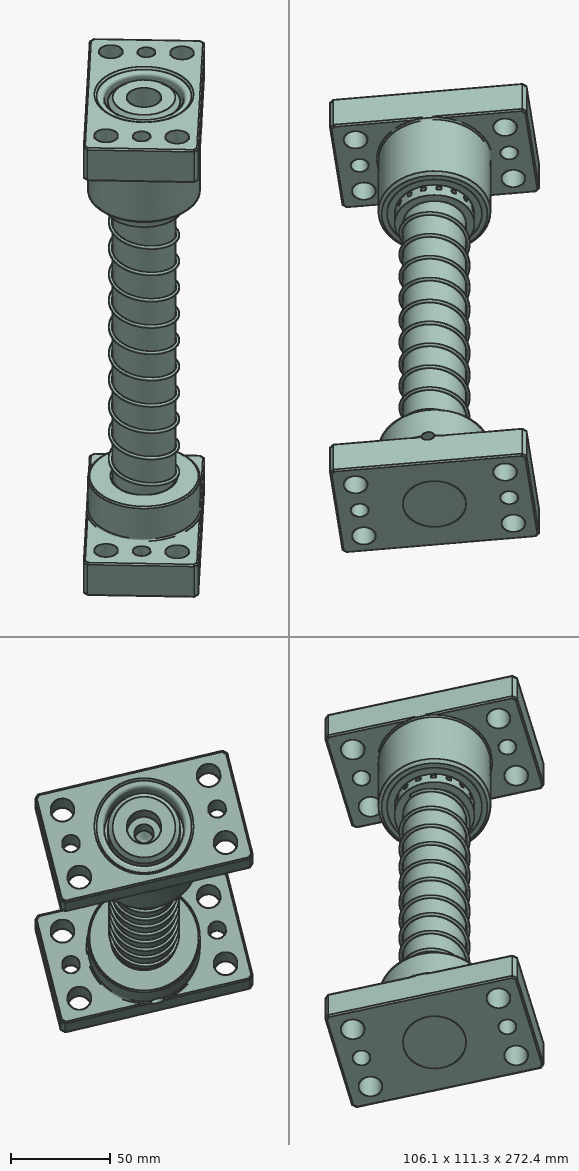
import cadquery as cq
import math


TOTAL_HEIGHT = 272.4
PLATE_TURN = -50.0

PLATE_LENGTH = 100.0
PLATE_WIDTH = 58.0
PLATE_THICKNESS = 20.0
CORNER_CHAMFER = 2.0
RIM_CHAMFER = 0.8
HOLE_SPACING_LONG = 76.0
HOLE_SPACING_SHORT = 36.0
SCREW_HOLE_DIAMETER = 12.0
DOWEL_HOLE_DIAMETER = 9.0

COLLAR_RADIUS = 28.3
COLLAR_ROOT_FILLET = 0.8
BASE_HEIGHT = 40.0
BASE_RIM_CHAMFER = 0.8
HOUSING_HEIGHT = 60.0
HOUSING_RIM_CHAMFER = 1.5
VENT_DIAMETER = 6.5
PILLAR_BORE_CHAMFER = 1.0

BUSH_RADIUS = 24.0
BUSH_BORE_RADIUS = 20.2
BUSH_MOUTH_FILLET = 2.0
SEAT_CHAMFER = 1.0

PILLAR_DIAMETER = 32.0
PILLAR_RADIUS = PILLAR_DIAMETER / 2
CAP_RADIUS = 18.2
CAP_CHAMFER = 2.5
CAP_THICKNESS = 13.5
CAP_SETBACK = 2.0
CAP_HOLE_RADIUS = 8.7
PILOT_RADIUS = 5.0
PILOT_DEPTH = 13.5
DRILL_POINT_ANGLE = 118.0

CAGE_STICKOUT = 7.4
CAGE_POCKET_COUNT = 16
CAGE_POCKET_DIAMETER = 2.7
CAGE_POCKET_DROP = 2.2
CAGE_POCKET_TURN = 8.0

WIRE_RADIUS = 0.8
SPRING_PILLAR_GAP = 0.3
SPRING_RADIUS = PILLAR_RADIUS + SPRING_PILLAR_GAP + WIRE_RADIUS
SPRING_TURNS = 10.2
SPRING_START_TURN = 10.0

HOUSING_BOTTOM = TOTAL_HEIGHT - HOUSING_HEIGHT
BUSH_TOP = TOTAL_HEIGHT - SEAT_CHAMFER
CAP_TOP = TOTAL_HEIGHT - CAP_SETBACK
PILLAR_TOP = CAP_TOP - CAP_THICKNESS
CAGE_BOTTOM = HOUSING_BOTTOM - CAGE_STICKOUT


def cylinder(radius, bottom, top):
    return cq.Workplane("XY").workplane(offset=bottom).circle(radius).extrude(top - bottom)


def make_plate():
    plate = (
        cq.Workplane("XY")
        .box(PLATE_LENGTH, PLATE_WIDTH, PLATE_THICKNESS, centered=(True, True, False))
        .edges("|Z").chamfer(CORNER_CHAMFER)
        .faces("<Z or >Z").edges().chamfer(RIM_CHAMFER)
    )
    screw_holes = (
        cq.Workplane("XY")
        .rect(HOLE_SPACING_LONG, HOLE_SPACING_SHORT, forConstruction=True)
        .vertices().circle(SCREW_HOLE_DIAMETER / 2).extrude(PLATE_THICKNESS)
    )
    dowel_holes = (
        cq.Workplane("XY")
        .rarray(HOLE_SPACING_LONG, 2.7, 2, 1)
        .circle(DOWEL_HOLE_DIAMETER / 2).extrude(PLATE_THICKNESS)
    )
    return plate.cut(screw_holes).cut(dowel_holes)


def make_collar(height, rim_chamfer):
    """Collar with a filleted root, trimmed so that it stays within the plate width."""
    root_radius = COLLAR_RADIUS + COLLAR_ROOT_FILLET
    fillet_top = PLATE_THICKNESS + COLLAR_ROOT_FILLET
    fillet_bow = COLLAR_ROOT_FILLET * (1 - math.sqrt(0.5))
    fillet_middle = (COLLAR_RADIUS + fillet_bow, PLATE_THICKNESS + fillet_bow)
    foot = PLATE_THICKNESS - RIM_CHAMFER
    collar = (
        cq.Workplane("XZ")
        .moveTo(0, foot)
        .lineTo(root_radius, foot)
        .lineTo(root_radius, PLATE_THICKNESS)
        .threePointArc(fillet_middle, (COLLAR_RADIUS, fillet_top))
        .lineTo(COLLAR_RADIUS, height - rim_chamfer)
        .lineTo(COLLAR_RADIUS - rim_chamfer, height)
        .lineTo(0, height)
        .close()
        .revolve(360, (0, 0, 0), (0, 1, 0))
    )
    limit = cq.Workplane("XY").box(PLATE_LENGTH, PLATE_WIDTH, height, centered=(True, True, False))
    return collar.intersect(limit)


def make_base():
    blank = make_plate().union(make_collar(BASE_HEIGHT, BASE_RIM_CHAMFER))
    vent = (
        cq.Workplane("XZ", origin=(0, 0, PLATE_THICKNESS))
        .circle(VENT_DIAMETER / 2).extrude(PLATE_WIDTH)
    )
    pillar_bore = cylinder(PILLAR_RADIUS, 0, BASE_HEIGHT)
    return (
        blank.cut(vent).cut(pillar_bore)
        .faces(">Z").edges(cq.selectors.RadiusNthSelector(0)).chamfer(PILLAR_BORE_CHAMFER)
        .rotate((0, 0, 0), (0, 0, 1), PLATE_TURN)
    )


def make_housing():
    blank = make_plate().union(make_collar(HOUSING_HEIGHT, HOUSING_RIM_CHAMFER))
    bore = cylinder(BUSH_RADIUS, 0, HOUSING_HEIGHT)
    return (
        blank.cut(bore)
        .faces("<Z").edges(cq.selectors.RadiusNthSelector(-1)).chamfer(SEAT_CHAMFER)
        .mirror("XY")
        .translate((0, 0, TOTAL_HEIGHT))
        .rotate((0, 0, 0), (0, 0, 1), PLATE_TURN)
    )


def make_bush():
    tube = cylinder(BUSH_RADIUS, HOUSING_BOTTOM, BUSH_TOP).cut(
        cylinder(BUSH_BORE_RADIUS, HOUSING_BOTTOM, BUSH_TOP)
    )
    mouth = cq.selectors.RadiusNthSelector(0)
    return tube.faces(">Z").edges(mouth).fillet(BUSH_MOUTH_FILLET)


def make_cage():
    cage = cylinder(BUSH_BORE_RADIUS, CAGE_BOTTOM, PILLAR_TOP).cut(
        cylinder(PILLAR_RADIUS, CAGE_BOTTOM, PILLAR_TOP)
    )
    pocket = (
        cq.Workplane("YZ", origin=(0, 0, HOUSING_BOTTOM - CAGE_POCKET_DROP))
        .circle(CAGE_POCKET_DIAMETER / 2).extrude(2 * BUSH_BORE_RADIUS)
    )
    for index in range(CAGE_POCKET_COUNT):
        turn = CAGE_POCKET_TURN + index * 360 / CAGE_POCKET_COUNT
        cage = cage.cut(pocket.rotate((0, 0, 0), (0, 0, 1), turn))
    return cage


def make_cap():
    cap = cylinder(CAP_RADIUS, PILLAR_TOP, CAP_TOP).faces(">Z").chamfer(CAP_CHAMFER)
    return cap.cut(cylinder(CAP_HOLE_RADIUS, PILLAR_TOP, CAP_TOP))


def make_pillar():
    pilot_floor = PILLAR_TOP - PILOT_DEPTH
    point_depth = PILOT_RADIUS / math.tan(math.radians(DRILL_POINT_ANGLE / 2))
    bore = (
        cq.Workplane("XZ")
        .moveTo(0, PILLAR_TOP)
        .lineTo(PILOT_RADIUS, PILLAR_TOP)
        .lineTo(PILOT_RADIUS, pilot_floor)
        .lineTo(0, pilot_floor - point_depth)
        .close()
        .revolve(360, (0, 0, 0), (0, 1, 0))
    )
    return cylinder(PILLAR_RADIUS, 0, PILLAR_TOP).cut(bore)


def make_spring():
    """Left-hand coil of round wire between the base collar and the ball cage."""
    bottom = BASE_HEIGHT + WIRE_RADIUS
    rise = CAGE_BOTTOM - WIRE_RADIUS - bottom
    pitch = rise / SPRING_TURNS
    path = cq.Wire.makeHelix(pitch, rise, SPRING_RADIUS, lefthand=True)
    slope = pitch / (2 * math.pi)
    section = cq.Plane(
        origin=(SPRING_RADIUS, 0, 0),
        xDir=(1, 0, 0),
        normal=(0, SPRING_RADIUS, -slope),
    )
    coil = cq.Workplane(section).circle(WIRE_RADIUS).sweep(cq.Workplane(path), isFrenet=True)
    lower_end_turn = SPRING_START_TURN + 360 * SPRING_TURNS
    return coil.translate((0, 0, bottom)).rotate((0, 0, 0), (0, 0, 1), lower_end_turn)


base = make_base()
housing = make_housing()
bush = make_bush()
cage = make_cage()
cap = make_cap()
pillar = make_pillar()
spring = make_spring()

result = cq.Compound.makeCompound(
    [base.val(), housing.val(), bush.val(), cage.val(), cap.val(), pillar.val(), spring.val()]
)